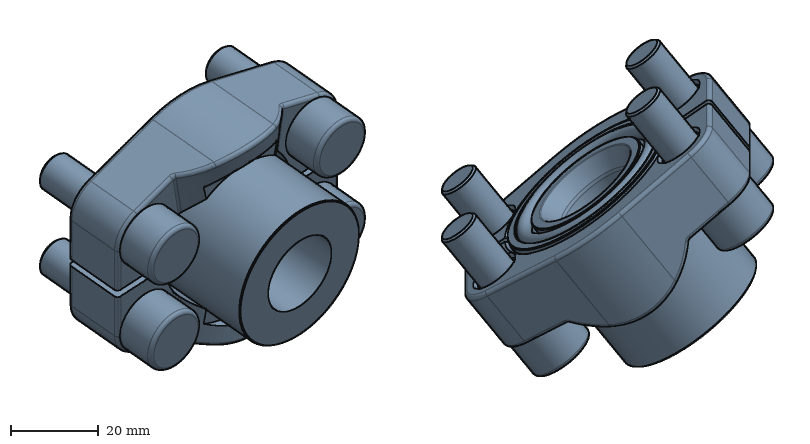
import cadquery as cq
import math


flange_thickness = 16.0
flange_width = 70.0
flange_height = 59.0
split_gap = 2.0
rim_fillet = 1.0
bolt_y = 26.2
bolt_z = 13.1
bolt_hole_diameter = 10.5
mouth_chamfer = 0.75

hump_rear = 24.1
hump_radius = 23.5
hump_draft_angle = 6.0
hump_root_fillet = 1.0

seat_diameter = 45.0
seat_depth = 7.5
neck_bore_diameter = 40.0
relief_diameter = 47.8
relief_front = 20.0

hub_front = -0.5
hub_rear = 39.5
collar_diameter = 44.5
neck_diameter = 37.9
collar_edge_chamfer = 0.5
collar_front_chamfer = 0.25
collar_root_fillet = 0.5
bore_diameter = 20.0
flare_diameter = 25.8
flare_depth = 4.75
flare_mouth_fillet = 0.3
flare_throat_fillet = 1.5
hub_edge_chamfer = 0.25
groove_inner_diameter = 31.0
groove_outer_diameter = 39.9
groove_mouth_chamfer = 0.25

ring_section_diameter = 3.53
ring_front = -1.1

shank_diameter = 9.73
head_diameter = 16.0
head_length = 10.0
screw_tip = -14.0
shank_chamfer = 0.5
head_fillet = 1.0

edge_reach = 0.01


def flange_outline():
    """Eight-sided outline in the YZ plane with crown arcs about the pipe axis and corners about the bolts."""
    half_width = flange_width / 2
    crown_radius = flange_height / 2
    corner_radius = half_width - bolt_y
    bolt_distance = math.hypot(bolt_y, bolt_z)
    slope = math.atan2(bolt_y, bolt_z) - math.acos((crown_radius - corner_radius) / bolt_distance)
    middle = (math.pi / 2 + slope) / 2

    crown_y = crown_radius * math.sin(slope)
    crown_z = crown_radius * math.cos(slope)
    shoulder_y = bolt_y + corner_radius * math.sin(slope)
    shoulder_z = bolt_z + corner_radius * math.cos(slope)
    corner_y = bolt_y + corner_radius * math.sin(middle)
    corner_z = bolt_z + corner_radius * math.cos(middle)

    return (
        cq.Workplane("YZ")
        .moveTo(half_width, -bolt_z)
        .lineTo(half_width, bolt_z)
        .threePointArc((corner_y, corner_z), (shoulder_y, shoulder_z))
        .lineTo(crown_y, crown_z)
        .threePointArc((0, crown_radius), (-crown_y, crown_z))
        .lineTo(-shoulder_y, shoulder_z)
        .threePointArc((-corner_y, corner_z), (-half_width, bolt_z))
        .lineTo(-half_width, -bolt_z)
        .threePointArc((-corner_y, -corner_z), (-shoulder_y, -shoulder_z))
        .lineTo(-crown_y, -crown_z)
        .threePointArc((0, -crown_radius), (crown_y, -crown_z))
        .lineTo(shoulder_y, -shoulder_z)
        .threePointArc((corner_y, -corner_z), (half_width, -bolt_z))
        .close()
    )


def x_cylinder(diameter, start, end, y=0.0, z=0.0):
    """Cylinder along X between two stations."""
    return cq.Workplane("YZ", origin=(start, y, z)).circle(diameter / 2).extrude(end - start)


def hump():
    """Conical hump for the upper half, cut to the flange outline."""
    height = flange_height / 2
    base_radius = hump_radius - height * math.tan(math.radians(hump_draft_angle))
    cone = cq.Solid.makeCone(
        base_radius, hump_radius, height, pnt=cq.Vector(hump_rear - hump_radius, 0, 0)
    )
    return flange_outline().extrude(hump_rear).intersect(cq.Workplane(cone))


def mouth_cone(diameter, y=0.0, z=0.0):
    """Cutter for a 45 degree chamfer where a hole opens on the front face."""
    return cq.Workplane(
        cq.Solid.makeCone(
            diameter / 2 + mouth_chamfer,
            diameter / 2,
            mouth_chamfer,
            pnt=cq.Vector(0, y, z),
            dir=cq.Vector(1, 0, 0),
        )
    )


def rim_edges(half):
    """Edges where the outline wall meets the front and rear faces."""
    inside = flange_outline().offset2D(-edge_reach).extrude(hump_rear).val()
    edges = []
    for edge in half.edges().vals():
        on_wall = not inside.isInside(edge.positionAt(0.5))
        box = edge.BoundingBox()
        at_front = box.xmax < edge_reach
        at_rear = box.xmin > flange_thickness - edge_reach
        if on_wall and (at_front or at_rear):
            edges.append(edge)
    return edges


def upper_flange_half():
    upper_space = (
        cq.Workplane("YZ", origin=(0, 0, split_gap / 2 + flange_height / 2))
        .rect(flange_width, flange_height)
        .extrude(hump_rear)
    )
    half = flange_outline().extrude(flange_thickness).union(hump()).intersect(upper_space)

    root_y = math.sqrt(hump_radius**2 - (flange_thickness - hump_rear + hump_radius) ** 2)
    root_edges = cq.selectors.BoxSelector(
        (flange_thickness - edge_reach, -root_y - edge_reach, 0),
        (flange_thickness + edge_reach, root_y + edge_reach, flange_height),
        boundingbox=True,
    )
    half = half.edges(root_edges).fillet(hump_root_fillet)
    half = half.newObject(rim_edges(half)).fillet(rim_fillet)

    half = half.cut(x_cylinder(seat_diameter, 0, seat_depth)).cut(mouth_cone(seat_diameter))
    half = half.cut(x_cylinder(neck_bore_diameter, 0, hump_rear))
    half = half.cut(x_cylinder(relief_diameter, relief_front, hump_rear))

    for y in (-bolt_y, bolt_y):
        half = half.cut(x_cylinder(bolt_hole_diameter, 0, flange_thickness, y, bolt_z))
        half = half.cut(mouth_cone(bolt_hole_diameter, y, bolt_z))
    return half


def circle_about_x(x, radius):
    """Selector for a full circular edge about the X axis."""
    reach = radius + edge_reach
    return cq.selectors.BoxSelector(
        (x - edge_reach, -reach, -reach), (x + edge_reach, reach, reach), boundingbox=True
    )


def hub():
    """Turned hub with a collar, a pipe neck, a flared bore and a ring groove in its front face."""
    collar_radius = collar_diameter / 2
    neck_radius = neck_diameter / 2
    bore_radius = bore_diameter / 2
    root_x = seat_depth + collar_root_fillet
    root_y = neck_radius + collar_root_fillet
    root_mid = collar_root_fillet * math.sqrt(0.5)
    body = (
        cq.Workplane("XY")
        .moveTo(hub_front, flare_diameter / 2)
        .lineTo(hub_front, collar_radius - collar_front_chamfer)
        .lineTo(hub_front + collar_front_chamfer, collar_radius)
        .lineTo(seat_depth - collar_edge_chamfer, collar_radius)
        .lineTo(seat_depth, collar_radius - collar_edge_chamfer)
        .lineTo(seat_depth, root_y)
        .threePointArc((root_x - root_mid, root_y - root_mid), (root_x, neck_radius))
        .lineTo(hub_rear - hub_edge_chamfer, neck_radius)
        .lineTo(hub_rear, neck_radius - hub_edge_chamfer)
        .lineTo(hub_rear, bore_radius)
        .lineTo(hub_front + flare_depth, bore_radius)
        .close()
        .revolve(360, (0, 0, 0), (1, 0, 0))
    )

    throat_x = hub_front + flare_depth
    body = body.edges(circle_about_x(throat_x, bore_radius)).fillet(flare_throat_fillet)
    body = body.edges(circle_about_x(hub_front, flare_diameter / 2)).fillet(flare_mouth_fillet)

    inner_radius = groove_inner_diameter / 2
    outer_radius = groove_outer_diameter / 2
    groove_floor = ring_front + ring_section_diameter
    groove = (
        cq.Workplane("XY")
        .moveTo(groove_floor, inner_radius)
        .lineTo(groove_floor, outer_radius)
        .lineTo(hub_front + groove_mouth_chamfer, outer_radius)
        .lineTo(hub_front, outer_radius + groove_mouth_chamfer)
        .lineTo(hub_front, inner_radius - groove_mouth_chamfer)
        .lineTo(hub_front + groove_mouth_chamfer, inner_radius)
        .close()
        .revolve(360, (0, 0, 0), (1, 0, 0))
    )
    return body.cut(groove)


def sealing_ring():
    """Ring that rests on the outer wall and the floor of the groove."""
    section_radius = ring_section_diameter / 2
    centre = cq.Vector(ring_front + section_radius, 0, 0)
    ring_radius = groove_outer_diameter / 2 - section_radius
    return cq.Workplane(cq.Solid.makeTorus(ring_radius, section_radius, centre, cq.Vector(1, 0, 0)))


def screw(y, z):
    """Cap screw whose head sits on the rear face of a flange half."""
    shank = x_cylinder(shank_diameter, screw_tip, flange_thickness, y, z)
    shank = shank.faces("<X").chamfer(shank_chamfer)
    head = x_cylinder(head_diameter, flange_thickness, flange_thickness + head_length, y, z)
    head = head.faces(">X").edges().fillet(head_fillet)
    return shank.union(head)


upper_half = upper_flange_half()
lower_half = upper_half.rotate((0, 0, 0), (1, 0, 0), 180)
screws = [screw(y, z) for y in (-bolt_y, bolt_y) for z in (-bolt_z, bolt_z)]

result = cq.Compound.makeCompound(
    [
        upper_half.val(),
        lower_half.val(),
        hub().val(),
        sealing_ring().val(),
        *[each.val() for each in screws],
    ]
)